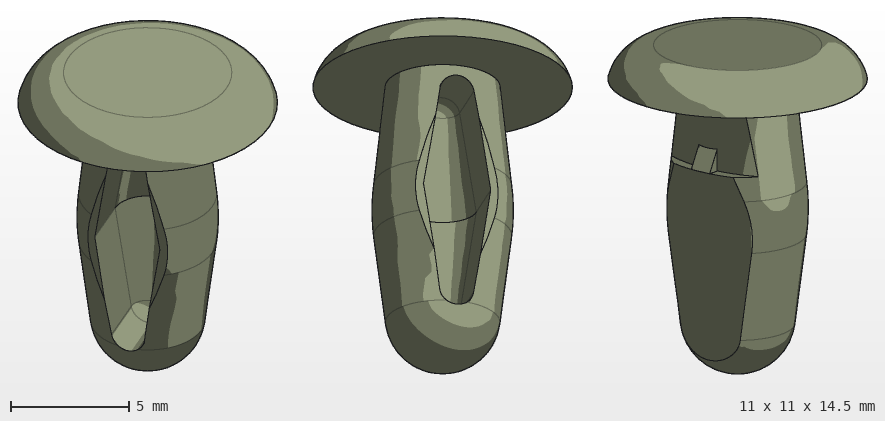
import math

import cadquery as cq


head_radius = 5.5
head_height = 1.5
head_edge_radius = 2.0

shank_length = 13.0
neck_radius = 2.44
bulge_radius = 3.0
bulge_end_radius = 2.93
bulge_z = -5.7
bulge_half_height = 1.155
tip_radius = 2.45

front_face_radius = 9.5
front_reach = 2.57
back_face_radius = 6.0

ledge_z = -3.5
ledge_reach = 2.52
neck_reach = 2.03
back_end_z = -10.9
back_end_reach = neck_reach

gusset_width = 1.0
gusset_height = 1.9
gusset_depth = 1.0

pocket_half_width = 1.47
pocket_middle_z = -5.6
pocket_top_z = -0.48
pocket_bottom_z = -11.0
pocket_end_radius = 0.75
pocket_axis_y = 0.0


def tangent_point(start_x, start_z, centre_z, radius):
    """Point where a line from the start touches a circle centred on x = 0, on its +X side."""
    rise = centre_z - start_z
    distance = math.hypot(start_x, rise)
    angle = math.acos(radius / distance) - math.atan2(abs(rise), start_x)
    side = math.copysign(1, rise)
    return radius * math.cos(angle), centre_z + side * radius * math.sin(angle)


def arc_middle(end_x, end_z, centre_z, radius, side):
    """Point halfway along the arc from the end point to the pole of a circle centred on x = 0."""
    end_angle = math.atan2(side * (end_z - centre_z), end_x)
    angle = (end_angle + math.pi / 2) / 2
    return radius * math.cos(angle), centre_z + side * radius * math.sin(angle)


def make_head():
    edge_centre_z = head_height - head_edge_radius
    edge_width = math.sqrt(head_edge_radius**2 - edge_centre_z**2)
    flat_radius = head_radius - edge_width
    mid_angle = (math.atan2(-edge_centre_z, edge_width) + math.pi / 2) / 2
    edge_middle = (
        flat_radius + head_edge_radius * math.cos(mid_angle),
        edge_centre_z + head_edge_radius * math.sin(mid_angle),
    )
    return (
        cq.Workplane("XZ")
        .lineTo(head_radius, 0)
        .threePointArc(edge_middle, (flat_radius, head_height))
        .lineTo(0, head_height)
        .close()
        .revolve(360, (0, 0), (0, 1))
    )


def make_round_shank():
    tip_centre_z = tip_radius - shank_length
    bulge_top_z = bulge_z + bulge_half_height
    bulge_bottom_z = bulge_z - bulge_half_height
    tip_start = tangent_point(bulge_end_radius, bulge_bottom_z, tip_centre_z, tip_radius)
    tip_middle = arc_middle(*tip_start, tip_centre_z, tip_radius, -1)
    return (
        cq.Workplane("XZ")
        .lineTo(neck_radius, 0)
        .lineTo(bulge_end_radius, bulge_top_z)
        .threePointArc((bulge_radius, bulge_z), (bulge_end_radius, bulge_bottom_z))
        .lineTo(*tip_start)
        .threePointArc(tip_middle, (0, -shank_length))
        .close()
        .revolve(360, (0, 0), (0, 1))
    )


def face_cylinder(radius, centre_y, centre_z, run_y=0.0, run_z=-1.0):
    """Long cylinder through a centre point along a run in Y and Z; its side is a curved face."""
    direction = cq.Vector(0, run_y, run_z).normalized()
    start = cq.Vector(0, centre_y, centre_z) - direction * shank_length
    return cq.Workplane(cq.Solid.makeCylinder(radius, 3 * shank_length, start, direction))


def make_shank():
    front = face_cylinder(front_face_radius, front_face_radius - front_reach, 0)
    shank = make_round_shank().intersect(front)

    above_ledge = cq.Workplane("XY", origin=(0, 0, ledge_z)).circle(head_radius).extrude(-ledge_z)
    neck_back = face_cylinder(back_face_radius, neck_reach - back_face_radius, 0)
    latch_back = face_cylinder(
        back_face_radius,
        ledge_reach - back_face_radius,
        ledge_z,
        run_y=back_end_reach - ledge_reach,
        run_z=back_end_z - ledge_z,
    )
    neck = shank.intersect(above_ledge).intersect(neck_back)
    latch = shank.cut(above_ledge).intersect(latch_back)
    return neck.union(latch)


def make_gusset():
    return (
        cq.Workplane("YZ")
        .moveTo(ledge_reach, ledge_z)
        .lineTo(ledge_reach - gusset_depth, ledge_z + gusset_height)
        .lineTo(ledge_reach - gusset_depth, ledge_z)
        .close()
        .extrude(gusset_width / 2, both=True)
    )


def pocket_half_outline():
    """The +X half of the pocket's outline, standing at the floor's axis."""
    top_centre_z = pocket_top_z - pocket_end_radius
    bottom_centre_z = pocket_bottom_z + pocket_end_radius
    top_start = tangent_point(pocket_half_width, pocket_middle_z, top_centre_z, pocket_end_radius)
    bottom_start = tangent_point(pocket_half_width, pocket_middle_z, bottom_centre_z, pocket_end_radius)
    top_middle = arc_middle(*top_start, top_centre_z, pocket_end_radius, 1)
    bottom_middle = arc_middle(*bottom_start, bottom_centre_z, pocket_end_radius, -1)
    return (
        cq.Workplane("XZ", origin=(0, pocket_axis_y, 0))
        .moveTo(0, pocket_top_z)
        .threePointArc(top_middle, top_start)
        .lineTo(pocket_half_width, pocket_middle_z)
        .lineTo(*bottom_start)
        .threePointArc(bottom_middle, (0, pocket_bottom_z))
        .close()
    )


def make_pocket():
    """Straight walls to the front, and a floor spun about the upright axis behind them."""
    floor = pocket_half_outline().revolve(180, (0, 0), (0, 1))
    half_opening = pocket_half_outline().extrude(bulge_radius + pocket_axis_y)
    return floor.union(half_opening).union(half_opening.mirror("YZ"))


result = make_head().union(make_shank()).union(make_gusset()).cut(make_pocket())